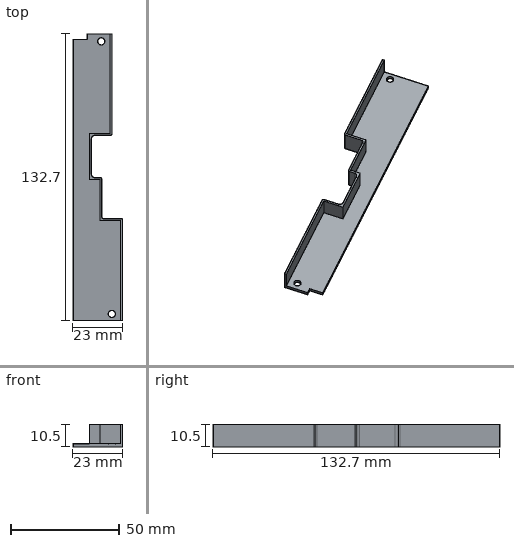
import cadquery as cq

length = 132.7
width = 23.0
height = 10.5
plate_thickness = 1.6
wall_thickness = 0.9

upper_edge_x = 18.0
bay_edge_x = 8.5
middle_edge_x = 13.3
upper_step_y = 85.7
bay_step_y = 66.2
lower_step_y = 47.2

bay_radius = 1.6
middle_radius = 0.9
outer_radius = 0.8

notch_width = 6.5
notch_length = 2.5

hole_diameter = 3.2
lower_hole_end_distance = 3.0
upper_hole_end_distance = 3.5
hole_inset = 5.0


def stepped_profile(inset, depth):
    """Solid between X = 0 and the stepped edge, moved inward by inset."""
    outline = [
        (0, 0),
        (width - inset, 0),
        (width - inset, lower_step_y - inset),
        (middle_edge_x - inset, lower_step_y - inset),
        (middle_edge_x - inset, bay_step_y - inset),
        (bay_edge_x - inset, bay_step_y - inset),
        (bay_edge_x - inset, upper_step_y + inset),
        (upper_edge_x - inset, upper_step_y + inset),
        (upper_edge_x - inset, length),
        (0, length),
    ]
    return cq.Workplane("XY").polyline(outline).close().extrude(depth)


def round_corners(body, corners, radius):
    """Fillet the vertical edges standing at the given XY corners."""
    for corner in corners:
        near_corner = cq.selectors.NearestToPointSelector((*corner, height / 2))
        body = body.edges("|Z").edges(near_corner).fillet(radius)
    return body


body = stepped_profile(0, height)
body = round_corners(body, [(bay_edge_x, upper_step_y), (bay_edge_x, bay_step_y)], bay_radius)
body = round_corners(body, [(middle_edge_x, lower_step_y)], middle_radius)
outer_corners = [(upper_edge_x, upper_step_y), (middle_edge_x, bay_step_y), (width, lower_step_y)]
body = round_corners(body, outer_corners, outer_radius)

clearance = stepped_profile(wall_thickness, height - plate_thickness)
body = body.cut(clearance.translate((0, 0, plate_thickness)))

notch = cq.Workplane("XY").box(notch_width, notch_length, plate_thickness, centered=False)
body = body.cut(notch.translate((0, length - notch_length, 0)))

hole_centers = [
    (width - hole_inset, lower_hole_end_distance),
    (upper_edge_x - hole_inset, length - upper_hole_end_distance),
]
holes = cq.Workplane("XY").pushPoints(hole_centers).circle(hole_diameter / 2).extrude(plate_thickness)
result = body.cut(holes)